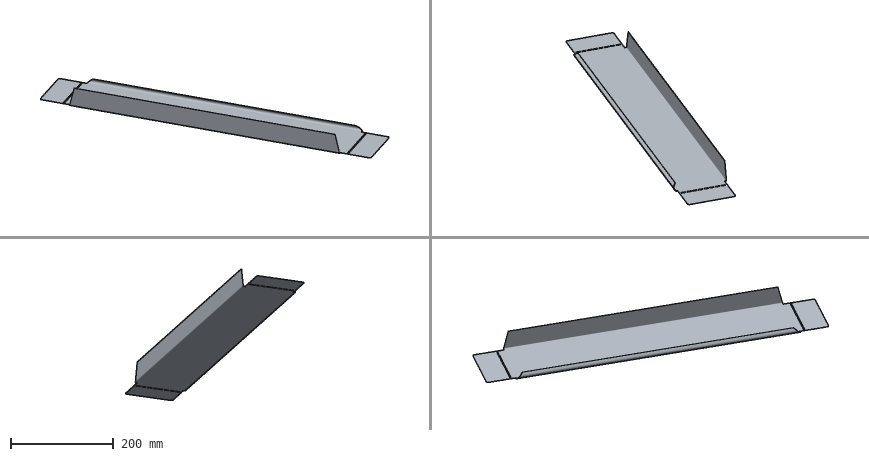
import cadquery as cq
import math

length = 695.0
depth = 110.0
height = 40.0
sheet = 1.0

base_front = 4.0
base_back = 103.5
base_corner_radius = 4.0

flange_bottom_length = 567.0
flange_top_length = 548.0
flange_bend_radius = 2.0

lip_bottom_length = 578.0
lip_tip_length = 549.0
lip_tip_height = 12.5
lip_bend_radius = 5.0
lip_flat = 5.5
lip_fold_angle = 135.0

slot_count = 8
slot_pitch = 12.0
slot_length = 8.0
slot_width = 2.0
slot_row_x = 298.0


def trapezoid_prism(bottom_length, top_length, top):
    """Symmetric trapezoid in XZ, extruded through the full depth."""
    return (
        cq.Workplane("XZ")
        .moveTo(-bottom_length / 2, 0)
        .lineTo(bottom_length / 2, 0)
        .lineTo(top_length / 2, top)
        .lineTo(-top_length / 2, top)
        .close()
        .extrude(-depth)
    )


def make_base():
    return (
        cq.Workplane("XY")
        .center(0, (base_front + base_back) / 2)
        .rect(length, base_back - base_front)
        .extrude(sheet)
        .edges("|Z")
        .fillet(base_corner_radius)
    )


def make_flange():
    """L-section with a rounded bend, its sloping ends cut by a trapezoid."""
    outer = flange_bend_radius
    inner = outer - sheet
    diagonal = math.sqrt(0.5)
    section = (
        cq.Workplane("YZ")
        .moveTo(base_front + sheet, 0)
        .lineTo(outer, 0)
        .threePointArc((outer * (1 - diagonal), outer * (1 - diagonal)), (0, outer))
        .lineTo(0, height)
        .lineTo(sheet, height)
        .lineTo(sheet, outer)
        .threePointArc((outer - inner * diagonal, outer - inner * diagonal), (outer, sheet))
        .lineTo(base_front + sheet, sheet)
        .close()
        .extrude(flange_bottom_length / 2, both=True)
    )
    return section.intersect(trapezoid_prism(flange_bottom_length, flange_top_length, height))


def make_lip():
    """Strip rolled about the bend centre, then straight along the fold."""
    outer = lip_bend_radius
    inner = outer - sheet
    center_y = depth - outer
    fold = math.radians(lip_fold_angle)

    def bend_point(radius, angle, straight=0):
        y = center_y + radius * math.sin(angle) + straight * math.cos(angle)
        z = outer - radius * math.cos(angle) + straight * math.sin(angle)
        return (y, z)

    root_y = base_back - sheet
    section = (
        cq.Workplane("YZ")
        .moveTo(root_y, 0)
        .lineTo(center_y, 0)
        .threePointArc(bend_point(outer, fold / 2), bend_point(outer, fold))
        .lineTo(*bend_point(outer, fold, lip_flat))
        .lineTo(*bend_point(inner, fold, lip_flat))
        .lineTo(*bend_point(inner, fold))
        .threePointArc(bend_point(inner, fold / 2), (center_y, sheet))
        .lineTo(root_y, sheet)
        .close()
        .extrude(lip_bottom_length / 2, both=True)
    )
    return section.intersect(trapezoid_prism(lip_bottom_length, lip_tip_length, lip_tip_height))


def make_perforations():
    row_y = (base_front + base_back) / 2
    first_y = row_y - slot_pitch * (slot_count - 1) / 2
    centers = [
        (side * slot_row_x, first_y + index * slot_pitch)
        for side in (-1, 1)
        for index in range(slot_count)
    ]
    return (
        cq.Workplane("XY")
        .pushPoints(centers)
        .rect(slot_width, slot_length)
        .extrude(sheet)
    )


result = make_base().union(make_flange()).union(make_lip()).cut(make_perforations())